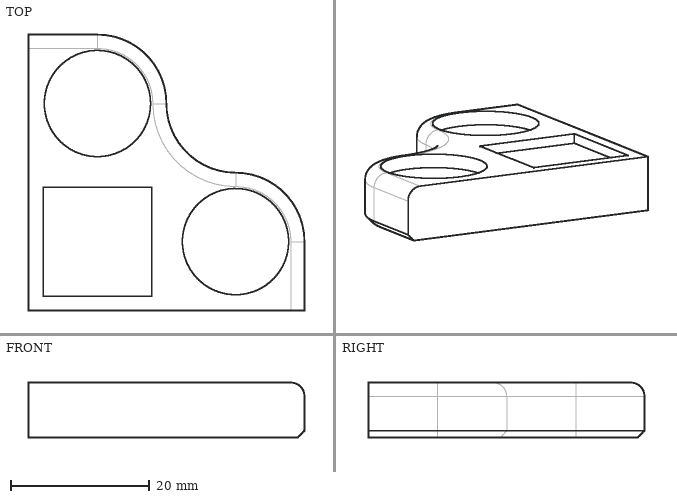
import cadquery as cq

side = 40.0
height = 8.0
cell = side / 2
wave_radius = cell / 2
top_fillet = 2.0
bottom_chamfer = 1.0
round_pocket_diameter = 15.4
round_pocket_depth = 2.0
square_pocket_side = 15.75
square_pocket_depth = 1.4

near_centre = cell / 2
far_centre = side - near_centre
round_pocket_centres = [(near_centre, far_centre), (far_centre, near_centre)]


def make_plate():
    """L-shaped plate whose outer edge is a wave of three quarter circles."""
    return (
        cq.Workplane("XY")
        .lineTo(side, 0)
        .lineTo(side, near_centre)
        .radiusArc((far_centre, cell), -wave_radius)
        .radiusArc((cell, far_centre), wave_radius)
        .radiusArc((near_centre, side), -wave_radius)
        .lineTo(0, side)
        .close()
        .extrude(height)
    )


def wavy_edges(plate, face):
    """Edges of a face along the wave: their midpoints lie off the flat sides X = 0 and Y = 0."""
    near_corner = (bottom_chamfer, bottom_chamfer, -height)
    far_corner = (2 * side, 2 * side, 2 * height)
    return plate.faces(face).edges(cq.selectors.BoxSelector(near_corner, far_corner))


plate = make_plate()
plate = wavy_edges(plate, ">Z").fillet(top_fillet)
plate = wavy_edges(plate, "<Z").chamfer(bottom_chamfer)

top_plane = cq.Workplane("XY", origin=(0, 0, height))
round_pockets = (
    top_plane.pushPoints(round_pocket_centres)
    .circle(round_pocket_diameter / 2)
    .extrude(-round_pocket_depth)
)
square_pocket = (
    top_plane.center(near_centre, near_centre)
    .rect(square_pocket_side, square_pocket_side)
    .extrude(-square_pocket_depth)
)

result = plate.cut(round_pockets).cut(square_pocket)